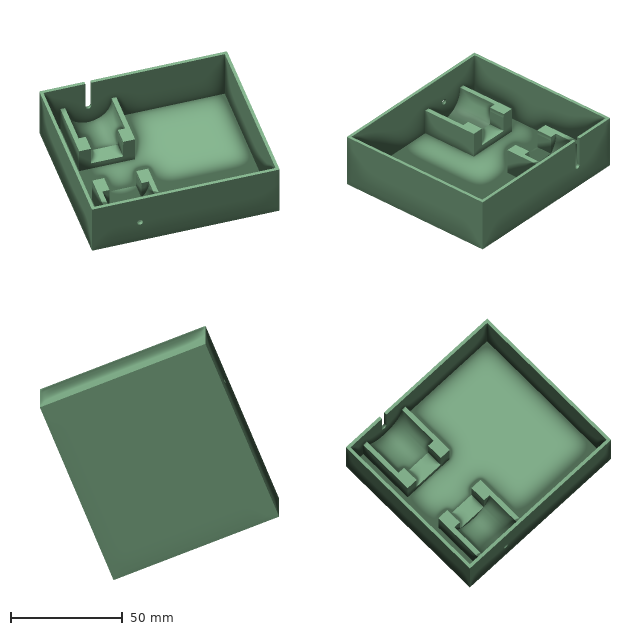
import cadquery as cq

length_x = 80.0
length_y = 88.0
height = 25.5
wall = 1.5
floor = 1.0

cradle_reach = 30.1
cradle_width = 26.2
cradle_center_y = 22.5
cradle_top = 13.3

seat_reach = 22.0
seat_radius = 10.9
seat_axis_z = 12.4
notch_width = 15.0
notch_relief_radius = 7.6
notch_bottom = 4.2

wire_diameter = 2.8
wire_axis_z = 11.3


def box_between(x_range, y_range, z_range):
    """Axis-aligned box from its limits along each axis."""
    size = [high - low for low, high in (x_range, y_range, z_range)]
    corner = (x_range[0], y_range[0], z_range[0])
    return cq.Workplane("XY").box(*size, centered=False).translate(corner)


def around(center, width):
    """Limits of a span centered on a position."""
    return center - width / 2, center + width / 2


def rod_along_x(x_range, axis_z, radius):
    """Cylinder parallel to X on the middle line of the cradles."""
    plane = cq.Workplane("YZ", origin=(x_range[0], cradle_center_y, axis_z))
    return plane.circle(radius).extrude(x_range[1] - x_range[0])


def make_tray():
    outer = box_between((0, length_x), (0, length_y), (0, height))
    cavity = box_between((wall, length_x - wall), (wall, length_y - wall), (floor, height))
    return outer.cut(cavity)


def make_left_cradle():
    block = box_between((wall, cradle_reach), around(cradle_center_y, cradle_width), (floor, cradle_top))
    seat = rod_along_x((wall, seat_reach), seat_axis_z, seat_radius)
    notch = box_between(
        (seat_reach, cradle_reach), around(cradle_center_y, notch_width), (notch_bottom, cradle_top)
    )
    notch_relief = rod_along_x((seat_reach, cradle_reach), seat_axis_z, notch_relief_radius)
    return block.cut(seat).cut(notch).cut(notch_relief)


left_cradle = make_left_cradle()
right_cradle = left_cradle.mirror("YZ", (length_x / 2, 0, 0))

wire_hole = rod_along_x((0, wall), wire_axis_z, wire_diameter / 2)
far_wire_hole = wire_hole.translate((length_x - wall, 0, 0))
wire_slot = box_between((0, wall), around(cradle_center_y, wire_diameter), (wire_axis_z, height))

tray = make_tray().union(left_cradle).union(right_cradle)
tray = tray.cut(wire_hole).cut(far_wire_hole).cut(wire_slot)
result = tray.translate((-length_x / 2, -length_y / 2, 0))